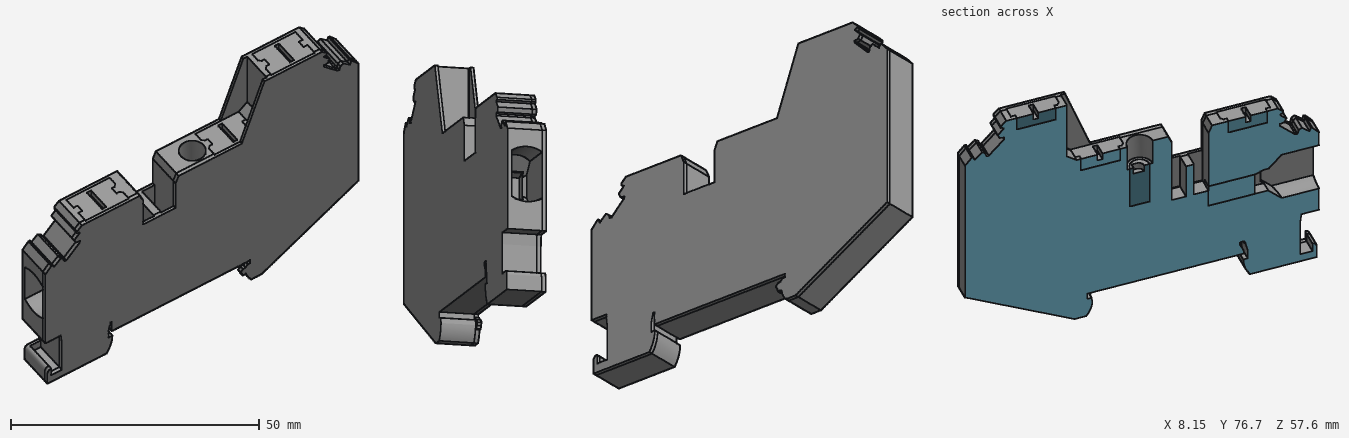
import cadquery as cq

thickness = 8.15
length = 76.7
height = 57.6
mid_x = thickness / 2

cover_thickness = 0.9
split_x = thickness - cover_thickness

low_top_z = 42.35
tower_front_y = 53.65
tower_foot_y = 48.1
notch_y0 = 23.95
notch_y1 = 31.9
notch_z = 33.2
notch_lead_in = 0.75
notch_lead_in_depth = 1.8

corner_profile = [
    (8.95, 0.0), (7.75, 1.15), (7.75, 1.6), (8.45, 1.9), (7.05, 3.3), (7.5, 4.25),
    (8.5, 4.4), (8.45, 4.8), (5.15, 8.1), (4.7, 8.1), (4.45, 7.2), (3.75, 6.75),
    (2.1, 8.2), (1.8, 7.4), (1.45, 7.5), (0.0, 9.15),
]

tail_z = 13.25
far_foot_y0 = 50.4
far_foot_y1 = 52.95
rail_seat_z = 5.9
far_groove_y = 50.2
far_groove_z = 4.7
far_toe_top = (49.2, 4.5)
far_flank_top = (49.05, 3.4)
far_flank_middle = (49.45, 1.6)
near_foot_y = 15.0
near_groove_z = 4.5
near_flank_y = 16.45
near_flank_middle = (15.95, 1.8)
slit_y0 = 15.5
slit_y1 = 16.3
slit_z = 8.7
slit_bend_z = 6.5
slit_end_width = 0.3
overhang_z = 12.45
overhang_root_y = 3.8
recess_y = 4.05
recess_bend_z = 10.1
lip_y = 0.5
lip_z = 4.0
lip_radius = 0.95
lip_pocket_floor_z = 2.0

spring_relief_profile = [
    (slit_y1, 6.7), (16.65, 7.7), (17.15, 8.6), (17.1, 9.0), (16.8, 9.2), (16.2, 9.2),
    (16.2, slit_z), (slit_y1, slit_z),
]
rail_catch_profile = [
    (far_groove_y, 4.4), (far_groove_y, 5.1), (49.6, 5.1), (49.0, 4.5), (48.4, 4.4),
    (47.75, 3.75), (48.2, 3.1), (48.3, 2.5), (49.4, 2.5),
]

channel_back_y = 54.6
channel_ramp_z = 44.0
channel_ramp_y = 52.5

marker_width = 6.85
marker_length = 10.6
marker_depth = 3.0
marker_x0 = mid_x - marker_width / 2
tab_width = 1.7
tab_depth = 0.95
flared_tab_depth = 1.25
flare = 0.55
marker_slot_width = 5.4
marker_slot_height = 1.0
marker_slot_offset = 5.05
marker_slot_depth = 1.5
marker_places = [(66.4, height, -1), (channel_ramp_y, low_top_z, -1), (10.3, low_top_z, 1)]

pocket_spans = [(28.85, notch_y1), (notch_y0, 27.1)]
pocket_depth = 8.0

screw_y = 38.8
screw_bore_radius = 2.74
screw_bore_depth = 6.0
screw_radius = 2.12
screw_length = 10.0
socket_radius = 1.1
socket_offset = 0.25
socket_depth = 1.5

entry_z = 23.95
entry_radius = 5.7
entry_depth = 8.0
entry_width = 2 * (split_x - mid_x)
taper_depth = 3.9
taper_start = (18.4, 11.6)
taper_end = (4.6, 3.8)
clamp_width = 4.65
clamp_z0 = 21.2
clamp_z1 = 26.2
tunnel_mouth_z = 26.85
tunnel_roof_slope_length = 2.0
tunnel_end_y = entry_depth + taper_depth + tunnel_roof_slope_length
clamp_length = 10.0


def block(x0, x1, y0, y1, z0, z1):
    """Box between two corners."""
    return cq.Workplane("XY").box(x1 - x0, y1 - y0, z1 - z0, centered=False).translate((x0, y0, z0))


def side_prism(points, x0, x1):
    """Prism of a (Y, Z) polygon between two X planes."""
    return cq.Workplane("YZ", origin=(x0, 0, 0)).polyline(points).close().extrude(x1 - x0)


def side_plate(x0, x1):
    """Terminal outline, common to the housing and the cover."""
    far_corner = [(length - inset, height - drop) for inset, drop in reversed(corner_profile)]
    near_corner = [(inset, low_top_z - drop) for inset, drop in corner_profile]
    notch_rim_z = low_top_z - notch_lead_in_depth
    outline = (
        cq.Workplane("YZ", origin=(x0, 0, 0))
        .moveTo(far_foot_y1, 0)
        .lineTo(length, tail_z)
    )
    for point in far_corner:
        outline = outline.lineTo(*point)
    outline = (
        outline.lineTo(tower_front_y, height)
        .lineTo(tower_foot_y, low_top_z)
        .lineTo(notch_y1 + notch_lead_in, low_top_z)
        .lineTo(notch_y1, notch_rim_z)
        .lineTo(notch_y1, notch_z)
        .lineTo(notch_y0, notch_z)
        .lineTo(notch_y0, notch_rim_z)
        .lineTo(notch_y0 - notch_lead_in, low_top_z)
    )
    for point in near_corner:
        outline = outline.lineTo(*point)
    outline = (
        outline.lineTo(0, overhang_z)
        .lineTo(overhang_root_y, overhang_z)
        .lineTo(recess_y, recess_bend_z)
        .lineTo(recess_y, lip_z)
        .lineTo(lip_y + lip_radius, lip_z)
        .radiusArc((lip_y, lip_z - lip_radius), -lip_radius)
        .lineTo(lip_y, 0)
        .lineTo(near_foot_y, 0)
        .threePointArc(near_flank_middle, (near_flank_y, near_groove_z))
        .lineTo(slit_y0, near_groove_z)
        .lineTo(slit_y0, slit_bend_z)
        .lineTo(slit_y1 - slit_end_width, slit_z)
        .lineTo(slit_y1, slit_z)
        .lineTo(slit_y1, rail_seat_z)
        .lineTo(far_groove_y, rail_seat_z)
        .lineTo(far_groove_y, far_groove_z)
        .lineTo(*far_toe_top)
        .lineTo(*far_flank_top)
        .threePointArc(far_flank_middle, (far_foot_y0, 0))
        .close()
    )
    return outline.extrude(x1 - x0)


def channel_cut():
    """Space between the tower's two side walls, with a ramp at its bottom."""
    section = [
        (channel_back_y, height), (channel_back_y, channel_ramp_z), (channel_ramp_y, low_top_z),
        (tower_foot_y, low_top_z), (tower_foot_y, height),
    ]
    return side_prism(section, marker_x0, marker_x0 + marker_width)


def pocket_cut(y0, y1):
    return block(marker_x0, marker_x0 + marker_width, y0, y1, notch_z - pocket_depth, notch_z)


def lip_pocket_cut():
    """Pocket between the lip and the recess wall, leaving a rim on the closed side."""
    return block(marker_x0, thickness, lip_y + lip_radius, recess_y, lip_pocket_floor_z, lip_z)


def marker_blank(end_y, top_z, direction):
    """Label plate with notched ends, also the shape of its seat."""
    half_width = marker_width / 2
    half_tab = tab_width / 2
    half_side = [
        (half_tab, tab_depth), (half_tab, 0), (half_width, 0), (half_width, marker_length),
        (half_tab + flare, marker_length), (half_tab, marker_length - flare),
        (half_tab, marker_length - flared_tab_depth),
    ]
    points = half_side + [(-across, along) for across, along in reversed(half_side)]
    placed = [(mid_x + across, end_y + direction * along) for across, along in points]
    return cq.Workplane("XY", origin=(0, 0, top_z)).polyline(placed).close().extrude(-marker_depth)


def marker(end_y, top_z, direction):
    """Flush label plate with a prising slot."""
    slot = (
        cq.Workplane("XY", origin=(mid_x, end_y + direction * marker_slot_offset, top_z))
        .rect(marker_slot_width, marker_slot_height)
        .extrude(-marker_slot_depth)
    )
    return marker_blank(end_y, top_z, direction).cut(slot)


def screw_cylinder(radius, top_z, depth):
    return cq.Workplane("XY", origin=(mid_x, screw_y, top_z)).circle(radius).extrude(-depth)


def adjusting_screw():
    """Screw at the bottom of its bore, with a D-shaped socket."""
    top_z = low_top_z - screw_bore_depth
    socket = (
        cq.Workplane("XY", origin=(mid_x, screw_y + socket_offset, top_z))
        .moveTo(-socket_radius, socket_radius)
        .lineTo(-socket_radius, 0)
        .threePointArc((0, -socket_radius), (socket_radius, 0))
        .lineTo(socket_radius, socket_radius)
        .close()
        .extrude(-socket_depth)
    )
    return screw_cylinder(screw_radius, top_z, screw_length).cut(socket)


def wire_entry_cut():
    """Round bore with flat sides, tapering to a rectangular tunnel whose roof slopes down."""
    bore_length = entry_depth + taper_depth
    bore = cq.Workplane("XZ", origin=(mid_x, 0, entry_z)).circle(entry_radius).extrude(-bore_length)
    flats = block(mid_x - entry_width / 2, split_x, 0, bore_length,
                  entry_z - entry_radius, entry_z + entry_radius)
    straight = block(0, thickness, 0, entry_depth, 0, height)
    taper = (
        cq.Workplane("XZ", origin=(mid_x, entry_depth, entry_z))
        .rect(*taper_start)
        .workplane(offset=-taper_depth)
        .rect(*taper_end)
        .loft(ruled=True)
    )
    tunnel_section = [
        (entry_depth, clamp_z0), (entry_depth, tunnel_mouth_z),
        (bore_length, tunnel_mouth_z), (tunnel_end_y, clamp_z1), (tunnel_end_y, clamp_z0),
    ]
    tunnel = side_prism(tunnel_section, mid_x - clamp_width / 2, mid_x + clamp_width / 2)
    return bore.intersect(flats).intersect(straight.union(taper)).union(tunnel)


def wire_clamp():
    return block(mid_x - clamp_width / 2, mid_x + clamp_width / 2,
                 tunnel_end_y, tunnel_end_y + clamp_length, clamp_z0, clamp_z1)


def spring_relief_cut():
    """Tear-shaped widening of the slit, in the housing only."""
    return side_prism(spring_relief_profile, 0, split_x)


def rail_catch():
    """Hook on the far foot, on the cover only."""
    return side_prism(rail_catch_profile, split_x, thickness)


markers = [marker(*place) for place in marker_places]
screw = adjusting_screw()
clamp = wire_clamp()

housing = side_plate(0, split_x).cut(wire_entry_cut()).cut(spring_relief_cut()).cut(clamp)
housing = housing.cut(screw_cylinder(screw_bore_radius, low_top_z, screw_bore_depth))
housing = housing.cut(screw_cylinder(screw_radius, low_top_z, screw_bore_depth + screw_length))
cover = side_plate(split_x, thickness).union(rail_catch())

shared_cuts = [channel_cut()] + [pocket_cut(*span) for span in pocket_spans] + [lip_pocket_cut()]
shared_cuts += [marker_blank(*place) for place in marker_places]
for cut in shared_cuts:
    housing = housing.cut(cut)
    cover = cover.cut(cut)

result = cq.Compound.makeCompound(
    [housing.val(), cover.val(), *[plate.val() for plate in markers], screw.val(), clamp.val()]
)